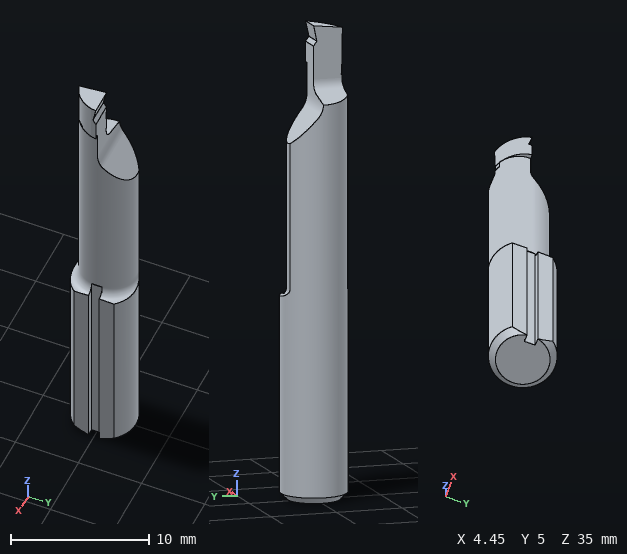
import cadquery as cq
import math

LENGTH = 35.0
SHANK_DIAMETER = 5.0
SHANK_RADIUS = SHANK_DIAMETER / 2
WIDTH_ACROSS_FLAT = 4.45
FLAT_X = WIDTH_ACROSS_FLAT - SHANK_RADIUS
END_CHAMFER = 0.52
SLOT_WIDTH = 0.85
SLOT_FLOOR_X = 1.4

NECK_X = -0.8
NECK_RADIUS = 2.25
NECK_START_Z = 15.8
RUNOUT_RADIUS = 0.77

BLADE_FACE_Y = 0.07
BLADE_BACK_X = -0.1
BLADE_BACK_TOP_X = -0.2
BACK_CUT_Z = 30.98
BACK_CUT_RADIUS = 0.98
BACK_FLOOR_ANGLE = 15.0
FACE_CUT_Z = 29.68
FACE_CUT_RADIUS = 1.65
FACE_SLOPE_ANGLE = 49.0

TIP_START_Z = 31.95
TIP_X = 1.75
LAND_END = (1.68, -0.3)
RELIEF_MIDDLE = (0.3, -1.92)
HEEL_Y = -2.15
HEEL_START_Z = 31.25
TOP_DROP = 0.25
GROOVE_DEPTH = 0.25
GROOVE_DEEPEST_Z = 33.85
GROOVE_END_Z = 33.5

REACH = 7.0


def box_between(low, high):
    size = [b - a for a, b in zip(low, high)]
    return cq.Workplane("XY").box(*size, centered=False).translate(low)


def make_shank():
    shank = cq.Workplane("XY").circle(SHANK_RADIUS).extrude(LENGTH)
    shank = shank.faces("<Z").chamfer(END_CHAMFER)
    beyond_flat = box_between((FLAT_X, -REACH, 0), (REACH, REACH, LENGTH))
    slot = box_between(
        (SLOT_FLOOR_X, -SLOT_WIDTH / 2, 0),
        (REACH, SLOT_WIDTH / 2, NECK_START_Z),
    )
    return shank.cut(beyond_flat).cut(slot)


def make_neck_trim():
    """Ring around the neck axis, with a concave runout at its lower end."""
    floor_z = NECK_START_Z - RUNOUT_RADIUS
    diagonal = RUNOUT_RADIUS * math.sqrt(0.5)
    arc_center_radius = NECK_RADIUS + RUNOUT_RADIUS
    return (
        cq.Workplane("XZ")
        .moveTo(NECK_RADIUS, LENGTH)
        .lineTo(NECK_RADIUS, NECK_START_Z)
        .threePointArc(
            (arc_center_radius - diagonal, NECK_START_Z - diagonal),
            (arc_center_radius, floor_z),
        )
        .lineTo(REACH, floor_z)
        .lineTo(REACH, LENGTH)
        .close()
        .revolve(360, (0, 0, 0), (0, 1, 0))
        .translate((NECK_X, 0, 0))
    )


def arc_below_wall(wall, z, radius, turn, outward):
    """Middle and end of an arc that leaves a vertical wall downward and turns outward."""
    def at(angle):
        return wall + outward * radius * (1 - math.cos(angle)), z - radius * math.sin(angle)
    return at(turn / 2), at(turn)


def make_back_cut():
    """Clears the -X side of the blade down to a gently sloping floor."""
    slope = math.radians(BACK_FLOOR_ANGLE)
    middle, end = arc_below_wall(
        BLADE_BACK_X, BACK_CUT_Z, BACK_CUT_RADIUS, math.pi / 2 - slope, -1
    )
    floor_end_z = end[1] - (end[0] + REACH) * math.tan(slope)
    return (
        cq.Workplane("XZ")
        .moveTo(BLADE_BACK_TOP_X, LENGTH)
        .lineTo(BLADE_BACK_X, BACK_CUT_Z)
        .threePointArc(middle, end)
        .lineTo(-REACH, floor_end_z)
        .lineTo(-REACH, LENGTH)
        .close()
        .extrude(REACH, both=True)
    )


def make_face_cut():
    """Clears the +Y side of the blade and forms the grooved cutting face."""
    slope = math.radians(FACE_SLOPE_ANGLE)
    middle, end = arc_below_wall(
        BLADE_FACE_Y, FACE_CUT_Z, FACE_CUT_RADIUS, math.pi / 2 - slope, 1
    )
    slope_end_z = end[1] - (REACH - end[0]) * math.tan(slope)
    return (
        cq.Workplane("YZ")
        .moveTo(BLADE_FACE_Y, LENGTH)
        .lineTo(BLADE_FACE_Y - GROOVE_DEPTH, GROOVE_DEEPEST_Z)
        .lineTo(BLADE_FACE_Y, GROOVE_END_Z)
        .lineTo(BLADE_FACE_Y, FACE_CUT_Z)
        .threePointArc(middle, end)
        .lineTo(REACH, slope_end_z)
        .lineTo(REACH, LENGTH)
        .close()
        .extrude(REACH, both=True)
    )


def make_tip():
    """Widened cutting head with a narrow land and curved side relief."""
    return (
        cq.Workplane("XY", origin=(0, 0, TIP_START_Z))
        .moveTo(TIP_X, BLADE_FACE_Y)
        .lineTo(*LAND_END)
        .threePointArc(RELIEF_MIDDLE, (BLADE_BACK_TOP_X, HEEL_Y))
        .lineTo(BLADE_BACK_TOP_X, BLADE_FACE_Y)
        .close()
        .extrude(LENGTH - TIP_START_Z)
    )


def make_heel_cut():
    """Relieves the -Y side of the blade just below the tip."""
    return (
        cq.Workplane("XY", origin=(0, 0, HEEL_START_Z))
        .moveTo(*RELIEF_MIDDLE)
        .lineTo(BLADE_BACK_TOP_X, HEEL_Y)
        .lineTo(-REACH, HEEL_Y)
        .lineTo(-REACH, -REACH)
        .lineTo(RELIEF_MIDDLE[0], -REACH)
        .close()
        .extrude(TIP_START_Z - HEEL_START_Z)
    )


def make_top_cut():
    """Slopes the end face down from the cutting face towards the heel."""
    return (
        cq.Workplane("YZ")
        .moveTo(BLADE_FACE_Y, LENGTH)
        .lineTo(HEEL_Y, LENGTH - TOP_DROP)
        .lineTo(HEEL_Y - REACH, LENGTH - TOP_DROP)
        .lineTo(HEEL_Y - REACH, LENGTH)
        .close()
        .extrude(REACH, both=True)
    )


tip_space = box_between((-REACH, -REACH, TIP_START_Z), (REACH, REACH, LENGTH))
result = make_shank().cut(make_neck_trim()).cut(make_heel_cut())
result = result.cut(tip_space).union(make_tip())
for cutter in (make_back_cut(), make_face_cut(), make_top_cut()):
    result = result.cut(cutter)